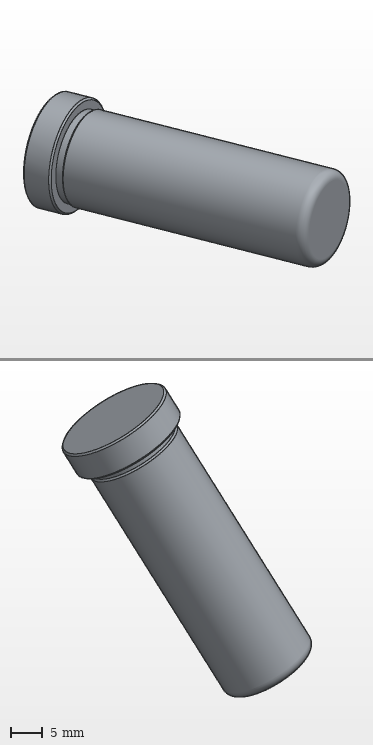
import cadquery as cq

total_length = 50.0
head_diameter = 19.0
head_length = 5.0
head_chamfer = 0.3
shank_diameter = 16.0
tip_radius = 1.5

groove_diameter = 15.4
groove_length = 1.5
groove_taper = (shank_diameter - groove_diameter) / 2


def make_head():
    head = cq.Workplane("YZ").circle(head_diameter / 2).extrude(head_length)
    return head.edges().chamfer(head_chamfer)


def make_shank():
    shank = cq.Workplane("YZ").circle(shank_diameter / 2).extrude(total_length)
    return shank.faces(">X").edges().fillet(tip_radius)


def make_groove():
    shank_radius = shank_diameter / 2
    groove_radius = groove_diameter / 2
    groove_end = head_length + groove_length
    profile = (
        cq.Workplane("XY")
        .moveTo(head_length, groove_radius)
        .lineTo(groove_end - groove_taper, groove_radius)
        .lineTo(groove_end, shank_radius)
        .lineTo(head_length, shank_radius)
        .close()
    )
    return profile.revolve(360, (0, 0, 0), (1, 0, 0))


result = make_shank().cut(make_groove()).union(make_head())